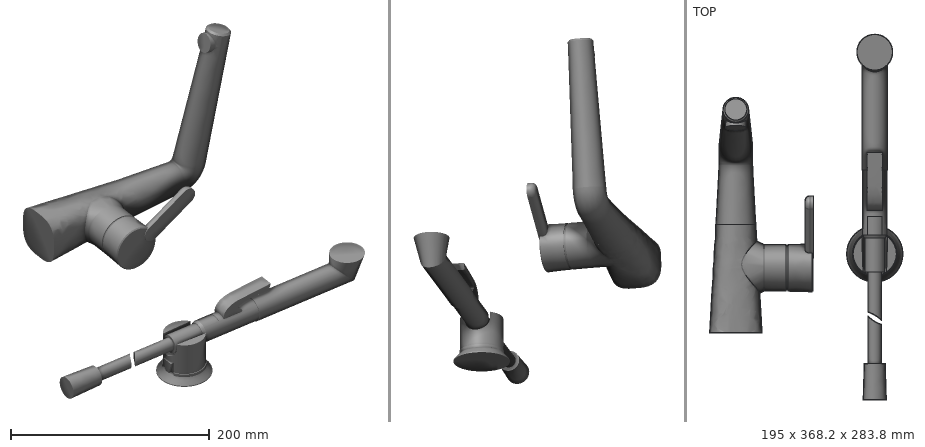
import cadquery as cq
import math


TRUNK_X = -140.0
TRUNK_Z = 120.7
TRUNK_BASE_Y = -79.5
TRUNK_SEAM_Y = 29.5
TRUNK_BASE_HALF = 26.5
TRUNK_BASE_EXPONENT = 3.0
ROUND_EXPONENT = 2
OUTLINE_POINTS = 32

BARREL_Y = -14.0
BARREL_RADIUS = 23.5
BARREL_END_X = -89.5
ROOT_INNER_X = -141.5
ROOT_OUTER_X = -111.5
ROOT_HALF_Y = 37.5
ROOT_HALF_Z = 21.7

GROOVE_WIDTH = 2.2
GROOVE_DEPTH = 1.0
CAP_END_X = -62.2
CAP_END_RADIUS = 24.3
CAP_EDGE = 1.0
LEVER_ANGLE = 31.0
LEVER_WIDTH = 17.5
LEVER_START = 22.0
LEVER_TIP = 74.5
LEVER_INNER_X = -70.3
LEVER_OUTER_X = -61.5
LEVER_ROUND = 5.0

SPOUT_SEAM_RADIUS = 20.2
SPOUT_BEND_RADIUS = 17.0
SPOUT_TIP_RADIUS = 13.0
SPOUT_LEAN = 14.2
BEND_PATH_RADIUS = 18.5
BEND_CORNER_Y = 105.0
SPOUT_RISE = 165.5
SPOUT_TIP_CHAMFER = 2.0
OUTLET_RADIUS = 10.3
OUTLET_FROM_TIP = 14.5
OUTLET_REACH = 15.5

SHOWER_Z = 40.0
HANDLE_RADIUS = 12.0
HANDLE_FRONT_RADIUS = 13.0
HANDLE_START_Y = 19.0
HANDLE_SEAM_Y = 84.5
HANDLE_CONE_LENGTH = 3.3
PAD_WIDTH = 14.7
PAD_LENGTH = 18.5
PAD_DEPTH = 0.7
TAIL_SEAT_RADIUS = 10.5
TAIL_RADIUS = 10.0
TAIL_END_Y = -18.0
MITRE_Y = 196.2
HEAD_RADIUS = 18.0
HEAD_Y = 203.2
HEAD_Z = 60.7
TRIGGER_WIDTH = 15.5
TRIGGER_TIP_Y = 102.5
TRIGGER_TIP_LOW_Y = 100.0
TRIGGER_TIP_TOP_Z = 69.2
TRIGGER_TIP_LOW_Z = 62.5
TRIGGER_BACK = [(90.2, 68.0), (68.0, 66.3), (51.5, 62.5), (45.0, 56.7), (44.0, 48.0)]
TRIGGER_ROOT = (65.5, 48.0)
TRIGGER_HOOK = [(66.3, 52.0), (62.2, 56.0), (68.5, 60.0), (86.5, 62.2)]

HOSE_RADIUS = 7.0
FITTING_START_Y = -110.5
FITTING_END_Y = -147.0
FITTING_START_RADIUS = 10.5
FITTING_END_RADIUS = 11.8
BREAK_LEFT_Y = -58.5
BREAK_DROP = 8.5
BREAK_GAP = 4.0
BREAK_BOW = 1.0

FLANGE_RADIUS = 28.5
FLANGE_RIM = 1.0
FLANGE_HEIGHT = 7.7
HOLDER_RADIUS = 21.7
HOLDER_TOP_Z = 46.5
COLLAR_RADIUS = 22.5
COLLAR_TOP_Z = 11.0
CHANNEL_NARROW_RADIUS = 11.8
CHANNEL_WIDE_RADIUS = 13.3
WINDOW_HALF_WIDTH = 9.2
WINDOW_TOP_Z = 23.0
WINDOW_BACK_Y = -18.5
RIB_FRONT_Y = -21.5
RIB_TOP_HALF = 6.3
RIB_TOP_Z = 20.5
RIB_FOOT_HALF = 3.0


def along_y(x, y, z):
    """Workplane facing +Y, with its local x along +X."""
    return cq.Workplane(cq.Plane(origin=(x, y, z), xDir=(1, 0, 0), normal=(0, 1, 0)))


def along_x(x, y, z):
    """Workplane facing +X, with local x along +Y and local y along +Z."""
    return cq.Workplane(cq.Plane(origin=(x, y, z), xDir=(0, 1, 0), normal=(1, 0, 0)))


def cone(start, direction, length, start_radius, end_radius):
    """Straight frustum along a direction."""
    return cq.Workplane(
        cq.Solid.makeCone(start_radius, end_radius, length, cq.Vector(*start), cq.Vector(*direction))
    )


def rod(start, direction, length, radius):
    """Straight cylinder along a direction."""
    return cq.Workplane(
        cq.Solid.makeCylinder(radius, length, cq.Vector(*start), cq.Vector(*direction))
    )


def superellipse(half, exponent):
    """Points of a rounded square that becomes a circle for exponent 2."""
    points = []
    for i in range(OUTLINE_POINTS):
        angle = 2 * math.pi * i / OUTLINE_POINTS
        c = math.cos(angle)
        s = math.sin(angle)
        reach = half / (abs(c) ** exponent + abs(s) ** exponent) ** (1 / exponent)
        points.append((reach * c, reach * s))
    return points


def make_mixer_body():
    trunk = (
        along_y(TRUNK_X, TRUNK_BASE_Y, TRUNK_Z)
        .spline(superellipse(TRUNK_BASE_HALF, TRUNK_BASE_EXPONENT), periodic=True).close()
        .workplane(offset=TRUNK_SEAM_Y - TRUNK_BASE_Y)
        .spline(superellipse(SPOUT_SEAM_RADIUS, ROUND_EXPONENT), periodic=True).close()
        .loft(ruled=True)
    )
    root = (
        along_x(ROOT_INNER_X, BARREL_Y, TRUNK_Z)
        .ellipse(ROOT_HALF_Y, ROOT_HALF_Z)
        .workplane(offset=ROOT_OUTER_X - ROOT_INNER_X)
        .ellipse(BARREL_RADIUS, BARREL_RADIUS)
        .loft(ruled=True)
    )
    barrel = (
        along_x(ROOT_OUTER_X, BARREL_Y, TRUNK_Z)
        .circle(BARREL_RADIUS)
        .extrude(BARREL_END_X - ROOT_OUTER_X)
    )
    return trunk.union(root).union(barrel)


def make_control():
    neck = (
        along_x(BARREL_END_X, BARREL_Y, TRUNK_Z)
        .circle(BARREL_RADIUS - GROOVE_DEPTH)
        .extrude(GROOVE_WIDTH)
    )
    cap_start_x = BARREL_END_X + GROOVE_WIDTH
    cap = cone((cap_start_x, BARREL_Y, TRUNK_Z), (1, 0, 0), CAP_END_X - cap_start_x,
               BARREL_RADIUS, CAP_END_RADIUS)
    cap = cap.faces(">X").edges().chamfer(CAP_EDGE)
    lever = (
        along_x(LEVER_INNER_X, BARREL_Y, TRUNK_Z)
        .transformed(rotate=(0, 0, LEVER_ANGLE))
        .center((LEVER_START + LEVER_TIP) / 2, 0)
        .slot2D(LEVER_TIP - LEVER_START + LEVER_WIDTH, LEVER_WIDTH)
        .extrude(LEVER_OUTER_X - LEVER_INNER_X)
        .faces("<X").edges().fillet(LEVER_ROUND)
    )
    return neck.union(cap).union(lever)


def make_spout():
    lean = math.radians(SPOUT_LEAN)
    up = (0, math.sin(lean), math.cos(lean))
    outward = (0, -math.cos(lean), math.sin(lean))
    turn = math.pi / 2 - lean
    tangent = BEND_PATH_RADIUS * math.tan(turn / 2)
    bend_y = BEND_CORNER_Y - tangent

    def on_riser(distance):
        return (TRUNK_X, BEND_CORNER_Y + distance * up[1], TRUNK_Z + distance * up[2])

    lower = cone((TRUNK_X, TRUNK_SEAM_Y, TRUNK_Z), (0, 1, 0), bend_y - TRUNK_SEAM_Y,
                 SPOUT_SEAM_RADIUS, SPOUT_BEND_RADIUS)
    bend = (
        along_y(TRUNK_X, bend_y, TRUNK_Z)
        .circle(SPOUT_BEND_RADIUS)
        .revolve(math.degrees(turn), (0, -BEND_PATH_RADIUS, 0), (1, -BEND_PATH_RADIUS, 0))
    )
    riser = cone(on_riser(tangent), up, SPOUT_RISE - tangent, SPOUT_BEND_RADIUS, SPOUT_TIP_RADIUS)
    riser = riser.faces(">Z").edges().chamfer(SPOUT_TIP_CHAMFER)
    outlet = rod(on_riser(SPOUT_RISE - OUTLET_FROM_TIP), outward, OUTLET_REACH, OUTLET_RADIUS)
    return lower.union(bend).union(riser).union(outlet)


def make_trigger():
    """Curved thumb lever rooted in the handle."""
    return (
        along_x(-TRIGGER_WIDTH / 2, 0, 0)
        .moveTo(TRIGGER_TIP_LOW_Y, TRIGGER_TIP_LOW_Z)
        .lineTo(TRIGGER_TIP_Y, TRIGGER_TIP_TOP_Z)
        .spline(TRIGGER_BACK, includeCurrent=True)
        .lineTo(*TRIGGER_ROOT)
        .spline(TRIGGER_HOOK, includeCurrent=True)
        .close()
        .extrude(TRIGGER_WIDTH)
    )


def make_grip_pad():
    """Curved shell that sinks a shallow rectangle into the top of the grip."""
    shell = (
        along_y(0, HANDLE_START_Y, SHOWER_Z)
        .circle(HANDLE_RADIUS + PAD_DEPTH)
        .circle(HANDLE_RADIUS - PAD_DEPTH)
        .extrude(PAD_LENGTH)
    )
    patch = (
        cq.Workplane("XY", origin=(0, HANDLE_START_Y + PAD_LENGTH / 2, SHOWER_Z))
        .rect(PAD_WIDTH, PAD_LENGTH)
        .extrude(2 * HANDLE_RADIUS)
    )
    return shell.intersect(patch)


def make_handset():
    tail_start_y = HANDLE_START_Y - HANDLE_CONE_LENGTH
    tail = rod((0, TAIL_END_Y, SHOWER_Z), (0, 1, 0), tail_start_y - TAIL_END_Y, TAIL_RADIUS)
    shoulder = cone((0, tail_start_y, SHOWER_Z), (0, 1, 0), HANDLE_CONE_LENGTH,
                    TAIL_SEAT_RADIUS, HANDLE_RADIUS)
    grip = rod((0, HANDLE_START_Y, SHOWER_Z), (0, 1, 0), HANDLE_SEAM_Y - HANDLE_START_Y, HANDLE_RADIUS)
    grip = grip.cut(make_grip_pad())

    mitre_plane = cq.Plane(origin=(0, MITRE_Y, SHOWER_Z), xDir=(1, 0, 0), normal=(0, 1, 1))
    front_length = MITRE_Y + 2 * HANDLE_FRONT_RADIUS - HANDLE_SEAM_Y
    beyond_mitre = (
        cq.Workplane(mitre_plane)
        .rect(4 * HEAD_RADIUS, 4 * HEAD_RADIUS)
        .extrude(2 * HEAD_RADIUS)
    )
    front = (
        along_y(0, HANDLE_SEAM_Y, SHOWER_Z)
        .circle(HANDLE_FRONT_RADIUS)
        .extrude(front_length)
        .cut(beyond_mitre)
    )
    mitre_ring = (
        cq.Workplane(mitre_plane)
        .ellipse(HANDLE_FRONT_RADIUS, HANDLE_FRONT_RADIUS * math.sqrt(2))
    )
    head_ring = (
        cq.Workplane(cq.Plane(origin=(0, HEAD_Y, HEAD_Z), xDir=(1, 0, 0), normal=(0, 0, 1)))
        .ellipse(HEAD_RADIUS, HEAD_RADIUS)
    )
    rings = [mitre_ring.wire().val(), head_ring.wire().val()]
    head = cq.Workplane(cq.Solid.makeLoft(rings, True))
    return tail.union(shoulder).union(grip).union(front).union(head).union(make_trigger())


def hose_piece(start_y, end_y):
    return rod((0, start_y, SHOWER_Z), (0, -1, 0), start_y - end_y, HOSE_RADIUS)


def beyond_break(left_y, bow, far_y):
    """Block from a bowed break line to far_y, to be cut from a hose."""
    middle_y = left_y - BREAK_DROP / 2 + bow
    return (
        cq.Workplane("XY")
        .moveTo(-HOSE_RADIUS, left_y)
        .threePointArc((0, middle_y), (HOSE_RADIUS, left_y - BREAK_DROP))
        .lineTo(HOSE_RADIUS, far_y)
        .lineTo(-HOSE_RADIUS, far_y)
        .close()
        .extrude(SHOWER_Z + 2 * HOSE_RADIUS)
    )


def make_upper_hose():
    return hose_piece(TAIL_END_Y, FITTING_START_Y).cut(
        beyond_break(BREAK_LEFT_Y, BREAK_BOW, FITTING_START_Y))


def make_lower_hose():
    return hose_piece(TAIL_END_Y, FITTING_START_Y).cut(
        beyond_break(BREAK_LEFT_Y - BREAK_GAP, -BREAK_BOW, TAIL_END_Y))


def make_fitting():
    return cone((0, FITTING_START_Y, SHOWER_Z), (0, -1, 0), FITTING_START_Y - FITTING_END_Y,
                FITTING_START_RADIUS, FITTING_END_RADIUS)


def make_holder():
    post = (
        cq.Workplane("XY", origin=(0, 0, FLANGE_HEIGHT))
        .circle(HOLDER_RADIUS)
        .extrude(HOLDER_TOP_Z - FLANGE_HEIGHT)
    )
    collar = (
        cq.Workplane("XY", origin=(0, 0, FLANGE_HEIGHT))
        .circle(COLLAR_RADIUS)
        .extrude(COLLAR_TOP_Z - FLANGE_HEIGHT)
    )
    holder = post.union(collar).cut(make_channel())

    depth = COLLAR_RADIUS + WINDOW_BACK_Y
    window = (
        cq.Workplane("XY")
        .box(2 * WINDOW_HALF_WIDTH, depth, WINDOW_TOP_Z - FLANGE_HEIGHT, centered=(True, False, False))
        .translate((0, -COLLAR_RADIUS, FLANGE_HEIGHT))
    )
    rib = (
        along_y(0, RIB_FRONT_Y, 0)
        .polyline([
            (-RIB_FOOT_HALF, -FLANGE_HEIGHT),
            (RIB_FOOT_HALF, -FLANGE_HEIGHT),
            (RIB_TOP_HALF, -RIB_TOP_Z),
            (-RIB_TOP_HALF, -RIB_TOP_Z),
        ])
        .close()
        .extrude(WINDOW_BACK_Y - RIB_FRONT_Y)
    )
    return holder.cut(window).union(rib)


def make_channel():
    """Tapered U-shaped trough, open at the top, in which the handset lies."""
    length = 2 * COLLAR_RADIUS
    trough = cone((0, -COLLAR_RADIUS, SHOWER_Z), (0, 1, 0), length,
                  CHANNEL_NARROW_RADIUS, CHANNEL_WIDE_RADIUS)
    mouth = (
        cq.Workplane("XY", origin=(0, 0, SHOWER_Z))
        .polyline([
            (-CHANNEL_NARROW_RADIUS, -COLLAR_RADIUS),
            (CHANNEL_NARROW_RADIUS, -COLLAR_RADIUS),
            (CHANNEL_WIDE_RADIUS, COLLAR_RADIUS),
            (-CHANNEL_WIDE_RADIUS, COLLAR_RADIUS),
        ])
        .close()
        .extrude(HOLDER_TOP_Z - SHOWER_Z)
    )
    return trough.union(mouth)


def make_flange():
    return (
        cq.Workplane("XZ")
        .polyline([
            (0, 0),
            (FLANGE_RADIUS, 0),
            (FLANGE_RADIUS, FLANGE_RIM),
            (COLLAR_RADIUS, FLANGE_HEIGHT),
            (0, FLANGE_HEIGHT),
        ])
        .close()
        .revolve(360, (0, 0, 0), (0, 1, 0))
    )


mixer_body = make_mixer_body()
control = make_control()
spout = make_spout()
handset = make_handset()
upper_hose = make_upper_hose()
lower_hose = make_lower_hose()
fitting = make_fitting()
holder = make_holder()
flange = make_flange()

result = cq.Compound.makeCompound([
    mixer_body.val(),
    control.val(),
    spout.val(),
    handset.val(),
    upper_hose.val(),
    lower_hose.val(),
    fitting.val(),
    holder.val(),
    flange.val(),
])